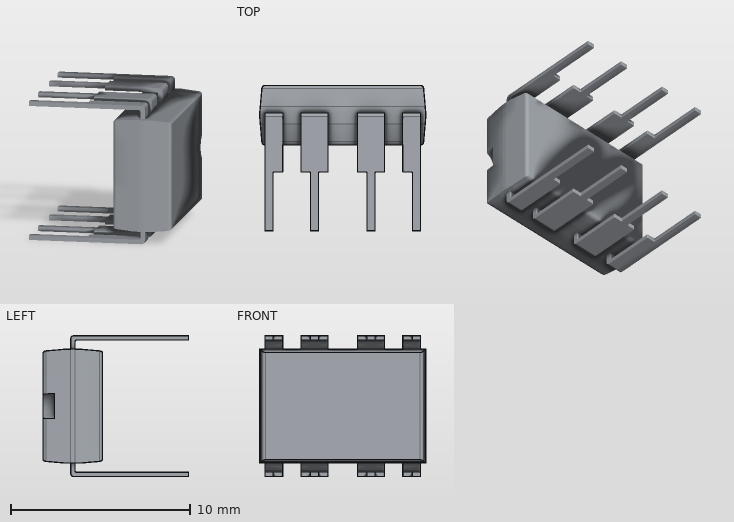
import cadquery as cq
import math

body_length = 9.27
body_height = 6.35
body_thickness = 3.33
side_band_half_width = 0.49
end_band_half_width = 0.127
draft_angle = 5.0
end_edge_radius = 0.2
side_edge_radius = 0.27
side_edge_angle = 52.0

notch_radius = 0.70
notch_depth = 0.65

lead_thickness = 0.254
overall_depth = 8.12
lead_span = 7.87
lead_tip_y = body_thickness / 2 - overall_depth
shoulder_y = -3.17
shoulder_corner_radius = 0.04
bend_outer_radius = 0.2
bend_inner_radius = 0.08
tip_width = 0.46
inner_shoulder_width = 1.524
outer_shoulder_width = 1.0
inner_tip_x = 1.575
lead_pitch = 2.54
outer_tip_x = inner_tip_x + lead_pitch
lead_embed = 0.5

half_length = body_length / 2
half_height = body_height / 2
half_thickness = body_thickness / 2
draft = math.tan(math.radians(draft_angle))


def make_plan():
    """Plan outline of the body extruded along Z: drafted ends with rounded edges."""
    face_half_length = half_length - (half_thickness - end_band_half_width) * draft
    blank = (
        cq.Workplane("XY")
        .polyline([
            (-half_length, -end_band_half_width),
            (-half_length, end_band_half_width),
            (-face_half_length, half_thickness),
            (face_half_length, half_thickness),
            (half_length, end_band_half_width),
            (half_length, -end_band_half_width),
            (face_half_length, -half_thickness),
            (-face_half_length, -half_thickness),
        ])
        .close()
        .extrude(half_height, both=True)
    )
    return blank.faces("<Y or >Y").edges("|Z").fillet(end_edge_radius)


def make_profile():
    """Side profile of the body extruded along X: drafted sides, arcs meeting the faces at an angle."""
    start_angle = math.radians(draft_angle)
    end_angle = math.radians(side_edge_angle)
    round_y = half_thickness - side_edge_radius * (math.sin(end_angle) - math.sin(start_angle))
    round_z = half_height - (round_y - side_band_half_width) * draft
    face_z = round_z - side_edge_radius * (math.cos(start_angle) - math.cos(end_angle))
    return (
        cq.Workplane("YZ")
        .moveTo(-side_band_half_width, half_height)
        .lineTo(side_band_half_width, half_height)
        .lineTo(round_y, round_z)
        .radiusArc((half_thickness, face_z), side_edge_radius)
        .lineTo(half_thickness, -face_z)
        .radiusArc((round_y, -round_z), side_edge_radius)
        .lineTo(side_band_half_width, -half_height)
        .lineTo(-side_band_half_width, -half_height)
        .lineTo(-round_y, -round_z)
        .radiusArc((-half_thickness, -face_z), side_edge_radius)
        .lineTo(-half_thickness, face_z)
        .radiusArc((-round_y, round_z), side_edge_radius)
        .close()
        .extrude(half_length, both=True)
    )


def make_body():
    """Plan and side profile intersected, less the orientation notch."""
    body = make_plan().intersect(make_profile())
    notch = (
        cq.Workplane("XZ", origin=(-half_length, half_thickness, 0))
        .circle(notch_radius)
        .extrude(notch_depth)
    )
    return body.cut(notch)


def make_lead(tip_x, shoulder_min_x, shoulder_max_x):
    """Upper lead: an L-shaped strip whose lower end narrows to a tip."""
    back_y = lead_thickness / 2
    front_y = -lead_thickness / 2
    outer_z = lead_span / 2
    inner_z = outer_z - lead_thickness
    root_z = half_height - lead_embed
    strip = (
        cq.Workplane("YZ", origin=(shoulder_min_x, 0, 0))
        .moveTo(back_y, root_z)
        .lineTo(back_y, outer_z - bend_outer_radius)
        .radiusArc((back_y - bend_outer_radius, outer_z), -bend_outer_radius)
        .lineTo(lead_tip_y, outer_z)
        .lineTo(lead_tip_y, inner_z)
        .lineTo(front_y - bend_inner_radius, inner_z)
        .radiusArc((front_y, inner_z - bend_inner_radius), bend_inner_radius)
        .lineTo(front_y, root_z)
        .close()
        .extrude(shoulder_max_x - shoulder_min_x)
    )
    shoulder = (
        cq.Workplane("XY", origin=(shoulder_min_x, shoulder_y, 0))
        .rect(shoulder_max_x - shoulder_min_x, back_y - shoulder_y, centered=False)
        .extrude(outer_z)
    )
    tip = (
        cq.Workplane("XY", origin=(tip_x - tip_width / 2, lead_tip_y, 0))
        .rect(tip_width, back_y - lead_tip_y, centered=False)
        .extrude(outer_z)
    )
    corner_zone = cq.selectors.BoxSelector(
        (shoulder_min_x - tip_width, shoulder_y - shoulder_corner_radius, 0),
        (shoulder_max_x + tip_width, shoulder_y + shoulder_corner_radius, outer_z),
    )
    outline = shoulder.union(tip).edges("|Z").edges(corner_zone).fillet(shoulder_corner_radius)
    return strip.intersect(outline)


def make_leads():
    """All eight leads: an inner and an outer lead in each quadrant."""
    outer_edge_x = outer_tip_x + tip_width / 2
    inner_lead = make_lead(
        inner_tip_x,
        inner_tip_x - inner_shoulder_width / 2,
        inner_tip_x + inner_shoulder_width / 2,
    )
    outer_lead = make_lead(outer_tip_x, outer_edge_x - outer_shoulder_width, outer_edge_x)
    leads = []
    for lead in (inner_lead, outer_lead):
        for upper_lead in (lead, lead.mirror("YZ")):
            leads += [upper_lead, upper_lead.mirror("XY")]
    return leads


result = make_body()
for lead in make_leads():
    result = result.union(lead)